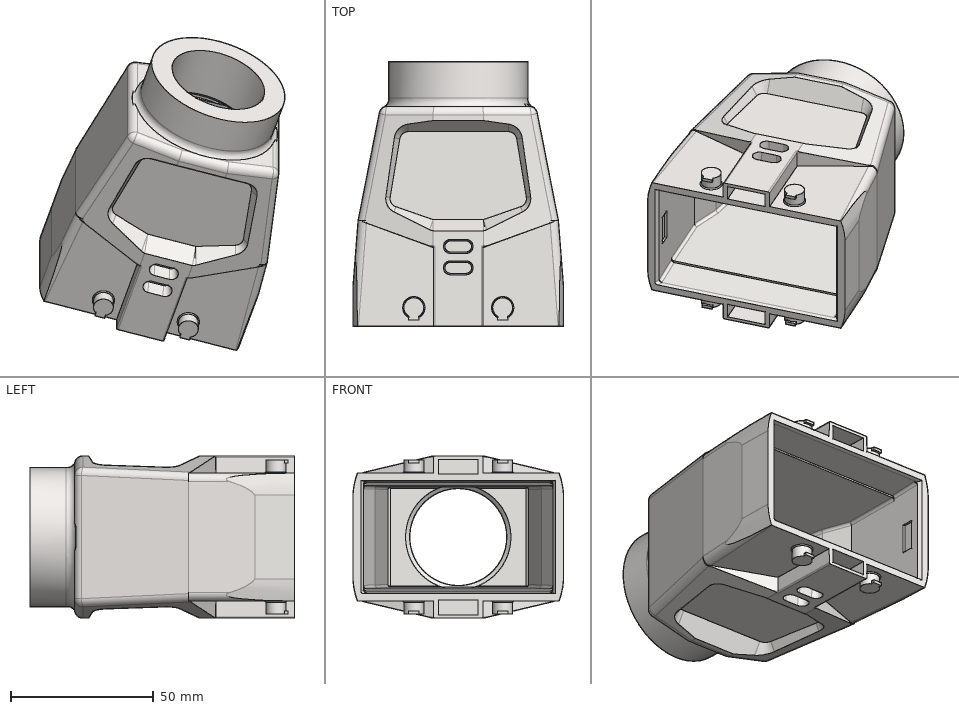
import cadquery as cq
import math


length = 93.0
half_height = 28.5
mouth_half_width = 37.0
edge_radius = 3.0

back_y = 77.3
back_half_width = 27.3
waist_y = 37.2
waist_half_width = 35.2
mouth_flat_depth = 14.0
mouth_slope = (mouth_half_width - waist_half_width) / (waist_y - mouth_flat_depth)
extended_half_width = waist_half_width + mouth_slope * waist_y

crest_half_width = 8.8
roof_slope = 0.237
base_half_height = 22.5
collar_flat_half_height = 14.7
collar_top_half_width = 35.4
collar_arc_mid = (36.5, 18.7)

raised_draft = 1.0
raised_edge_radius = 0.5
bar_half_width = 8.75
step_inner_y = 27.7
step_outer_y = 36.8
step_outer_x = 33.6

recess_floor_z = 22.0
recess_draft = 31.0
recess_corner_radius = 3.0
recess_half_outline = [(8.8, 37.5), (24.3, 42.9), (20.1, 68.4)]

pocket_half_width = 7.0
pocket_bottom_z = 22.1
pocket_top_z = 27.3
pocket_depth = 15.0
slot_length = 10.4
slot_width = 4.9
slot_depth = 6.0
slot_draft = 5.0
slot_stations = (28.1, 20.6)

pin_x = 15.6
pin_y = 6.6
pin_radius = 3.5
pin_top_z = 27.1
pin_foot = 0.4
nub_reach = 4.3
nub_width = 3.6
nub_height = 1.1

neck_radius = 24.5
neck_flare_width = 2.2
neck_flare_length = 3.4
neck_flare_end_y = 80.3
bore_radius = 17.0
bore_chamfer = 1.5

cavity_end_y = 73.0
cavity_half_width = 33.2
lip = 1.0
lip_depth = 1.5
cavity_bend = (29.2, 48.0)
cavity_end_half_width = 23.7
cavity_end_chamfer = 1.0
mouth_inner_half_height = 19.6
lip_rise = 0.3
ledge_y = 14.0
ledge_outer_half_height = 18.9
ledge_inner_half_height = 18.2
cavity_end_half_height = 17.1
cavity_end_bevel = 0.5
cavity_corner_radius = 1.0

catch_start_y = 4.7
catch_length = 4.5
catch_height = 11.0
catch_depth = 0.8

margin = 5.0


def mirrored(half_outline):
    """Close a right-hand half outline with its mirror image in x."""
    return half_outline + [(-x, y) for x, y in reversed(half_outline)]


def plan_prism(half_outline, half_depth):
    """Extrude a symmetric plan outline to both sides of the XY plane."""
    return cq.Workplane("XY").polyline(mirrored(half_outline)).close().extrude(half_depth, both=True)


def box_between(x_half, y_start, y_end, z_half):
    return cq.Workplane("XY").box(2 * x_half, y_end - y_start, 2 * z_half).translate(
        (0, (y_start + y_end) / 2, 0))


def both_faces(shape):
    """Add the copy of a top-side shape on the underside."""
    return shape.union(shape.mirror("XY"))


def outer_outline():
    return [
        (extended_half_width, 0),
        (waist_half_width, waist_y),
        (back_half_width, back_y),
    ]


def roofed_shell():
    """Full-length body under the pitched roofs, with rounded long and back edges."""
    reach = extended_half_width + margin
    eave = half_height - roof_slope * (reach - crest_half_width)
    half_section = [(reach, eave), (crest_half_width, half_height)]
    section = mirrored(half_section)
    section += [(-x, -z) for x, z in section]
    roof = cq.Workplane("XZ").polyline(section).close().extrude(-back_y)
    shell = plan_prism(outer_outline(), half_height).intersect(roof)
    side_edges = shell.edges(cq.selectors.BoxSelector(
        (-reach, waist_y - 1, -half_height - 1), (reach, back_y + 1, half_height + 1)))
    rounded = side_edges.filter(is_long_outer_edge)
    return shell.newObject(rounded.vals()).fillet(edge_radius)


def is_long_outer_edge(edge):
    """True for the roof eaves behind the waist and the rim of the back face."""
    center = edge.Center()
    on_back = center.y > back_y - 0.01
    on_eave = center.y > waist_y + 1 and abs(center.x) > back_half_width and abs(center.z) > 1
    return on_back or on_eave


def raised_region():
    """Space kept for the roofed shell: all behind the waist, and the bar and V step above the panels."""
    reach = extended_half_width + 2 * margin
    step_slope = (step_outer_y - step_inner_y) / (step_outer_x - bar_half_width)
    half_outline = [
        (bar_half_width, -margin),
        (bar_half_width, step_inner_y),
        (reach, step_inner_y + step_slope * (reach - bar_half_width)),
        (reach, length + margin),
    ]
    top = (
        cq.Workplane("XY").workplane(offset=base_half_height)
        .polyline(mirrored(half_outline)).close()
        .extrude(half_height - base_half_height, taper=raised_draft)
        .faces(">Z").edges().fillet(raised_edge_radius)
    )
    middle = box_between(reach, waist_y, back_y + margin, base_half_height)
    return both_faces(top).union(middle)


def mouth_block():
    """Front half of the body: tapered sides with rounded edges, trimmed by the arched collar section."""
    outline = outer_outline()[:2]
    block = plan_prism(outline, base_half_height)
    block = block.edges("(not |X) and (not |Z)").fillet(edge_radius)
    w, h = mouth_half_width, collar_flat_half_height
    t, b = collar_top_half_width, base_half_height
    ax, az = collar_arc_mid
    collar = (
        cq.Workplane("XZ").moveTo(w, -h).lineTo(w, h)
        .threePointArc((ax, az), (t, b)).lineTo(-t, b)
        .threePointArc((-ax, az), (-w, h)).lineTo(-w, -h)
        .threePointArc((-ax, -az), (-t, -b)).lineTo(t, -b)
        .threePointArc((ax, -az), (w, -h)).close()
        .extrude(-waist_y)
    )
    return block.intersect(collar)


def neck():
    """Cable entry with a concave flare, turned about the Y axis."""
    root_y = neck_flare_end_y - neck_flare_length
    bow = 1 - math.sqrt(0.5)
    bow_point = (neck_radius + bow * neck_flare_width, root_y + bow * neck_flare_length)
    return (
        cq.Workplane("XY")
        .moveTo(0, cavity_end_y).lineTo(neck_radius, cavity_end_y)
        .lineTo(neck_radius + neck_flare_width, root_y)
        .threePointArc(bow_point, (neck_radius, neck_flare_end_y))
        .lineTo(neck_radius, length).lineTo(0, length).close()
        .revolve(360, (0, 0, 0), (0, 1, 0))
    )


def pins():
    """Locking pins with a conical foot and a nub pointing to the mouth."""
    foot_radius = pin_radius + pin_foot
    pin = (
        cq.Workplane("XZ")
        .moveTo(0, base_half_height - 1).lineTo(foot_radius, base_half_height - 1)
        .lineTo(foot_radius, base_half_height)
        .lineTo(pin_radius, base_half_height + pin_foot)
        .lineTo(pin_radius, pin_top_z).lineTo(0, pin_top_z).close()
        .revolve(360, (0, 0, 0), (0, 1, 0))
    )
    nub = cq.Workplane("XY").box(nub_width, nub_reach, nub_height).translate(
        (0, -nub_reach / 2, pin_top_z - nub_height / 2))
    pin = pin.union(nub)
    pair = pin.translate((pin_x, pin_y, 0)).union(pin.translate((-pin_x, pin_y, 0)))
    return both_faces(pair)


def label_recesses():
    """Recesses in both roofs, with a flat floor and sloping walls."""
    points = mirrored(recess_half_outline)
    floor = cq.Sketch().polygon(points + points[:1]).vertices("not <Y").fillet(recess_corner_radius)
    recess = (
        cq.Workplane("XY").workplane(offset=recess_floor_z).placeSketch(floor)
        .extrude(half_height + 1 - recess_floor_z, taper=-recess_draft)
    )
    return both_faces(recess)


def bar_openings():
    """Blind pocket entering each bar from the mouth, and the drafted blind slots behind it."""
    openings = cq.Workplane("XY").box(
        2 * pocket_half_width, pocket_depth, pocket_top_z - pocket_bottom_z
    ).translate((0, pocket_depth / 2, (pocket_bottom_z + pocket_top_z) / 2))
    for y in slot_stations:
        slot = (
            cq.Workplane("XY").workplane(offset=half_height).center(0, y)
            .slot2D(slot_length, slot_width).extrude(-slot_depth, taper=slot_draft)
        )
        openings = openings.union(slot)
    return both_faces(openings)


def cavity():
    """Inner space: plan and side profiles crossed, with rounded corners."""
    end_w = cavity_end_half_width
    plan = plan_prism([
        (cavity_half_width + lip, 0),
        (cavity_half_width, lip_depth),
        (cavity_half_width, waist_y),
        cavity_bend,
        (end_w + cavity_end_chamfer, cavity_end_y - cavity_end_chamfer),
        (end_w, cavity_end_y),
    ], half_height)
    half_profile = [
        (0, mouth_inner_half_height + lip_rise),
        (lip_depth, mouth_inner_half_height),
        (ledge_y, ledge_outer_half_height),
        (ledge_y, ledge_inner_half_height),
        (cavity_end_y - cavity_end_chamfer, cavity_end_half_height + cavity_end_bevel),
        (cavity_end_y, cavity_end_half_height),
    ]
    profile = half_profile + [(y, -z) for y, z in reversed(half_profile)]
    side = cq.Workplane("YZ").polyline(profile).close().extrude(mouth_half_width, both=True)
    space = plan.intersect(side)
    front_zone = box_between(mouth_half_width, 0, ledge_y, half_height)
    front = space.intersect(front_zone)
    rear = space.cut(front_zone)
    return rounded_corners(front).union(rounded_corners(rear))


def rounded_corners(space):
    """Round the edges where the side walls of a cavity section meet its top and bottom walls."""
    return space.newObject(space.edges().filter(is_cavity_corner).vals()).fillet(cavity_corner_radius)


def is_cavity_corner(edge):
    """True for long corner edges; the short ones at the lip and the end bevel stay sharp."""
    center = edge.Center()
    run = abs(edge.endPoint().y - edge.startPoint().y)
    return run > lip_depth and abs(center.x) > 1 and abs(center.z) > 1


def catches():
    reach = cavity_half_width + catch_depth
    return box_between(reach, catch_start_y, catch_start_y + catch_length, catch_height / 2)


def cable_bore():
    """Through bore of the neck, chamfered where it leaves the cavity."""
    entry_radius = bore_radius + bore_chamfer
    return (
        cq.Workplane("XY").moveTo(0, cavity_end_y - 1).lineTo(entry_radius, cavity_end_y - 1)
        .lineTo(entry_radius, cavity_end_y)
        .lineTo(bore_radius, cavity_end_y + bore_chamfer)
        .lineTo(bore_radius, length + margin).lineTo(0, length + margin).close()
        .revolve(360, (0, 0, 0), (0, 1, 0))
    )


body = roofed_shell().intersect(raised_region())
body = body.union(mouth_block()).union(neck()).union(pins())
for opening in (label_recesses(), bar_openings(), cavity(), catches(), cable_bore()):
    body = body.cut(opening)
result = body